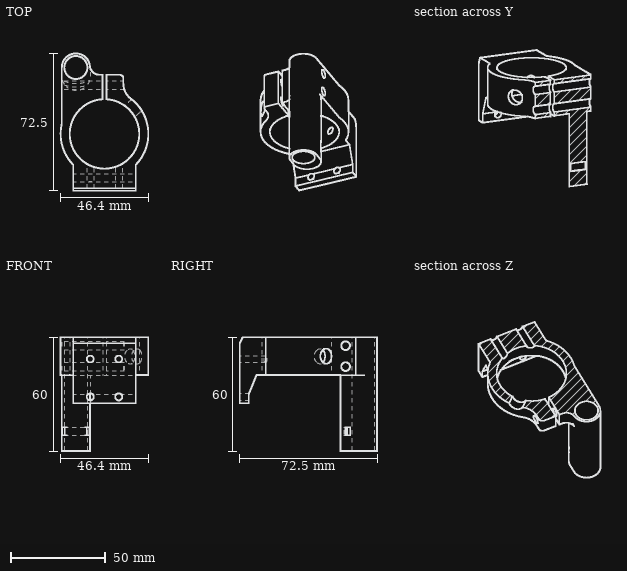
import cadquery as cq
import math

total_height = 60.0
clamp_height = 20.0
clamp_bottom = total_height - clamp_height
ring_radius = 23.2
bore_radius = 18.3
front_y = -30.0
back_y = front_y + 72.5

lug_top = 31.25
lug_right = 10.0
lug_corner_radius = 2.0
lug_blend_radius = 10.0
slit_width = 2.0
screw_radius = 2.25
screw_y = 25.8
screw_depths = (4.5, 15.5)

tube_radius = 7.5
tube_bore_radius = 6.0
tube_x = -15.1
tube_y = back_y - tube_radius
tube_flat = 4.5
tube_blend_radius = 5.0

strap_bottom = 8.4
strap_height = 4.1
strap_inner_radius = 15.4
strap_thickness = 1.8
strap_centre_y = 42.0

plate_width = 33.05
plate_height = 34.95
plate_thickness = 4.85
gusset_depth = 8.9
gusset_drop = 30.0
chamfer_depth = 1.5
chamfer_drop = 3.2
mount_hole_radius = 1.8
mount_hole_x = 7.505
mount_hole_depths = (11.5, 31.5)

access_radius = 4.0
access_angle = 42.5


def clamp_body():
    """Ring with its two lugs, blended into the tube and the ring."""
    tube_left = tube_x - tube_radius

    tube_blend_y = lug_top + tube_blend_radius
    blend_reach = tube_radius + tube_blend_radius
    tube_blend_x = tube_x + math.sqrt(blend_reach**2 - (tube_blend_y - tube_y) ** 2)
    tube_share = tube_radius / blend_reach
    tube_tangent = (
        tube_x + tube_share * (tube_blend_x - tube_x),
        tube_y + tube_share * (tube_blend_y - tube_y),
    )

    ring_blend_x = lug_right + lug_blend_radius
    ring_reach = ring_radius + lug_blend_radius
    ring_blend_y = math.sqrt(ring_reach**2 - ring_blend_x**2)
    ring_share = ring_radius / ring_reach
    ring_tangent = (ring_share * ring_blend_x, ring_share * ring_blend_y)

    lugs = (
        cq.Workplane("XY", origin=(0, 0, clamp_bottom))
        .moveTo(0, 0)
        .lineTo(tube_left, 0)
        .lineTo(tube_left, tube_y)
        .lineTo(tube_x, tube_y)
        .lineTo(*tube_tangent)
        .radiusArc((tube_blend_x, lug_top), -tube_blend_radius)
        .lineTo(lug_right - lug_corner_radius, lug_top)
        .radiusArc((lug_right, lug_top - lug_corner_radius), lug_corner_radius)
        .lineTo(lug_right, ring_blend_y)
        .radiusArc(ring_tangent, -lug_blend_radius)
        .close()
        .extrude(clamp_height)
    )
    ring = cq.Workplane("XY", origin=(0, 0, clamp_bottom)).circle(ring_radius).extrude(clamp_height)
    return ring.union(lugs)


def tube_body():
    """Full-height stadium column, lengthened towards the front."""
    return (
        cq.Workplane("XY")
        .center(tube_x, tube_y - tube_flat / 2)
        .slot2D(2 * tube_radius + tube_flat, 2 * tube_radius, 90)
        .extrude(total_height)
    )


def mounting_plate():
    """Gusseted plate with a bevelled top edge, drawn as a side profile in Y and Z."""
    profile = [
        (0, total_height),
        (front_y + chamfer_depth, total_height),
        (front_y, total_height - chamfer_drop),
        (front_y, total_height - plate_height),
        (front_y + plate_thickness, total_height - plate_height),
        (front_y + plate_thickness, total_height - gusset_drop),
        (front_y + gusset_depth, clamp_bottom),
        (0, clamp_bottom),
    ]
    return cq.Workplane("YZ").polyline(profile).close().extrude(plate_width / 2, both=True)


def bores():
    """Main bore, tube bore and the slit that opens the clamp."""
    main = cq.Workplane("XY").circle(bore_radius).extrude(total_height)
    tube = cq.Workplane("XY").center(tube_x, tube_y).circle(tube_bore_radius).extrude(total_height)
    slit = cq.Workplane("XY").center(0, lug_top / 2).rect(slit_width, lug_top).extrude(total_height)
    return main.union(tube).union(slit)


def screw_holes():
    """Clamp screw holes running along X through both lugs."""
    points = [(screw_y, total_height - depth) for depth in screw_depths]
    return cq.Workplane("YZ").pushPoints(points).circle(screw_radius).extrude(2 * ring_radius, both=True)


def mount_holes():
    """Four plate holes running along Y; the upper pair opens into the main bore."""
    points = [(side * mount_hole_x, total_height - depth) for side in (-1, 1) for depth in mount_hole_depths]
    return (
        cq.Workplane("XZ", origin=(0, front_y, 0))
        .pushPoints(points)
        .circle(mount_hole_radius)
        .extrude(front_y)
    )


def access_hole():
    """Hole from the ring axis outwards through the back right wall."""
    return (
        cq.Workplane("YZ", origin=(0, 0, clamp_bottom + clamp_height / 2))
        .circle(access_radius)
        .extrude(2 * ring_radius)
        .rotate((0, 0, 0), (0, 0, 1), access_angle)
    )


def strap_channel():
    """Arc-shaped channel passing through the solid front of the tube."""
    outer_radius = strap_inner_radius + strap_thickness
    channel = (
        cq.Workplane("XY", origin=(tube_x, strap_centre_y, strap_bottom))
        .circle(outer_radius)
        .circle(strap_inner_radius)
        .extrude(strap_height)
    )
    front_half = (
        cq.Workplane("XY", origin=(tube_x, strap_centre_y - outer_radius / 2, strap_bottom))
        .rect(2 * outer_radius, outer_radius)
        .extrude(strap_height)
    )
    return channel.intersect(front_half)


result = clamp_body().union(tube_body()).union(mounting_plate())
for cutter in (bores(), screw_holes(), mount_holes(), access_hole(), strap_channel()):
    result = result.cut(cutter)